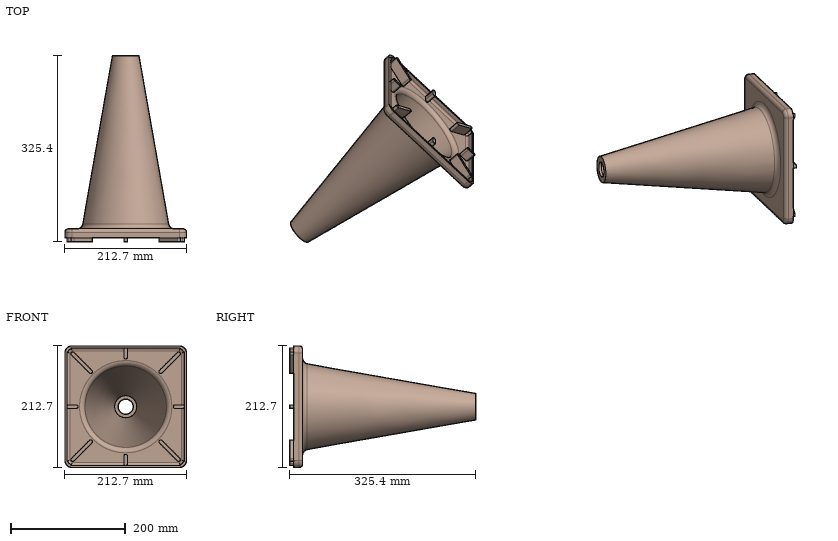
import cadquery as cq
import math


base_size = 212.725
cone_tip_y = 318.29375
wall = 4.7625

base_height = 15.875
base_corner_radius = 12.7
base_edge_radius = 6.35
floor_y = base_height - wall
rim_width = 3.96875
recess_size = base_size - 2 * rim_width
recess_corner_bevel = 7.14375
recess_fillet_radius = 4.7625

cone_tip_radius = 23.3
cone_half_angle = math.radians(10)
flare_radius = 9.525
tip_hole_diameter = 26.0
wall_across = wall / math.cos(cone_half_angle)

rib_width = 6.35
rib_drop = 7.14375
rib_inner_end = 83.34375
side_rib_outer_end = 102.79375
corner_rib_outer_end = 133.8


def cone_radius(y):
    """Radius of the outer cone surface at height y."""
    return cone_tip_radius + (cone_tip_y - y) * math.tan(cone_half_angle)


def flared_cone(foot_y, top_y, inset):
    """Solid cone, inset from the outer surface, whose foot flares tangentially into the plane y = foot_y."""
    tangent_y = foot_y + flare_radius * (1 - math.sin(cone_half_angle))
    tangent_radius = cone_radius(tangent_y) - inset
    arc_center_radius = tangent_radius + flare_radius * math.cos(cone_half_angle)
    arc_center_y = foot_y + flare_radius
    mid_angle = (math.pi / 2 - cone_half_angle) / 2
    arc_middle = (
        arc_center_radius - flare_radius * math.sin(mid_angle),
        arc_center_y - flare_radius * math.cos(mid_angle),
    )
    return (
        cq.Workplane("XY")
        .moveTo(0, foot_y)
        .lineTo(arc_center_radius, foot_y)
        .threePointArc(arc_middle, (tangent_radius, tangent_y))
        .lineTo(cone_radius(top_y) - inset, top_y)
        .lineTo(0, top_y)
        .close()
        .revolve(360, (0, 0, 0), (0, 1, 0))
    )


def square_block(size, height):
    """Square block from y = 0 up to y = height."""
    return cq.Workplane("XZ").rect(size, size).extrude(-height)


def base_plate():
    """Base with rounded corners and a rounded edge on the cone side."""
    plate = square_block(base_size, base_height).edges("|Y").fillet(base_corner_radius)
    return plate.faces(">Y").edges().fillet(base_edge_radius)


def base_recess():
    """Recess under the base, with bevelled corners and a fillet around its floor."""
    recess = square_block(recess_size, floor_y).edges("|Y").chamfer(recess_corner_bevel)
    return recess.faces(">Y").edges().fillet(recess_fillet_radius)


def rib(inner_end, outer_end, angle):
    """Radial rib with round ends, from the base floor to below the rim."""
    return (
        cq.Workplane("XZ", origin=(0, -rib_drop, 0))
        .center((inner_end + outer_end) / 2, 0)
        .slot2D(outer_end - inner_end, rib_width)
        .extrude(-(rib_drop + floor_y))
        .rotate((0, 0, 0), (0, 1, 0), angle)
    )


def tip_hole():
    """Round hole through the closed tip of the cone."""
    return (
        cq.Workplane("XZ", origin=(0, cone_tip_y, 0))
        .circle(tip_hole_diameter / 2)
        .extrude(2 * wall)
    )


cone = flared_cone(base_height, cone_tip_y, 0)
cavity = flared_cone(floor_y, cone_tip_y - wall, wall_across)

result = base_plate().union(cone).cut(base_recess()).cut(cavity).cut(tip_hole())
for quarter in range(4):
    side_angle = 90 * quarter
    result = result.union(rib(rib_inner_end, side_rib_outer_end, side_angle))
    result = result.union(rib(rib_inner_end, corner_rib_outer_end, side_angle + 45))